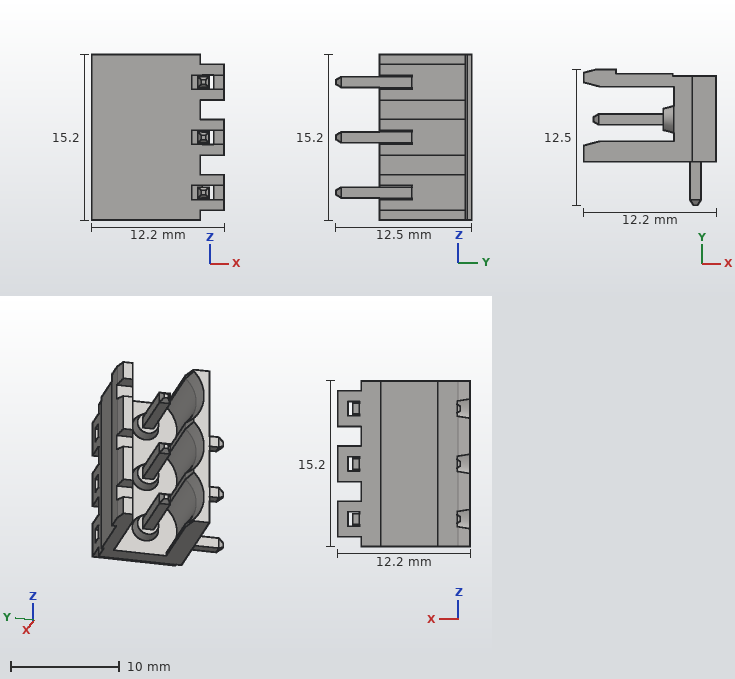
import cadquery as cq


POLES = 3
PITCH = 5.08
HEIGHT = POLES * PITCH
POLE_CENTRES = [PITCH * (pole + 0.5) for pole in range(POLES)]

CAVITY_FLOOR_X = 8.3
BACK_X = 10.02
REAR_X = 12.2
BACK_Y = 7.9
SOLDER_WALL = 1.9
MOUTH_LEAD_IN = 1.5
MOUTH_CHAMFER = 0.4
LATCH_WALL_INNER_Y = 6.9
LATCH_WALL_OUTER_Y = 8.1
LATCH_WALL_END_X = 8.23
LATCH_TOP_Y = 8.5
LATCH_BACK_X = 3.0
LATCH_RAMP_LENGTH = 1.15
LATCH_RAMP_DROP = 0.3

RIB_WIDTH = 3.3
SLOT_WIDTH = 1.3
SLOT_START_X = 9.2
SLOT_DEPTH = 3.0
WINDOW_START_X = 10.2
WINDOW_LENGTH = 1.03

NOTCH_DEPTH = 1.2
NOTCH_MOUTH_WIDTH = 1.78
NOTCH_FLOOR_WIDTH = 1.39
SCALLOP_MOUTH_RADIUS = 3.37
SCALLOP_BORE_RADIUS = 3.0

PIN_WIDTH = 1.02
PIN_TIP_WIDTH = 0.4
PIN_TIP_LENGTH = 0.5
PIN_Y = 3.9
CONTACT_TIP_X = 0.9
SOLDER_PIN_X = 10.3
SOLDER_TIP_Y = -4.0
COLLAR_LENGTH = 0.97
COLLAR_BASE_DIAMETER = 2.5
COLLAR_END_DIAMETER = 2.0


def box(x, y, z):
    """Box spanning the given (low, high) pair along each axis."""
    return (
        cq.Workplane("XY")
        .box(x[1] - x[0], y[1] - y[0], z[1] - z[0], centered=False)
        .translate((x[0], y[0], z[0]))
    )


def span(centre, width):
    return (centre - width / 2, centre + width / 2)


def make_shell():
    """U-shaped housing section, extruded along the row."""
    outline = [
        (0, 0),
        (BACK_X, 0),
        (BACK_X, BACK_Y),
        (LATCH_WALL_END_X, BACK_Y),
        (LATCH_WALL_END_X, LATCH_WALL_OUTER_Y),
        (LATCH_BACK_X, LATCH_WALL_OUTER_Y),
        (LATCH_BACK_X, LATCH_TOP_Y),
        (LATCH_RAMP_LENGTH, LATCH_TOP_Y),
        (0, LATCH_TOP_Y - LATCH_RAMP_DROP),
        (0, LATCH_WALL_INNER_Y + MOUTH_CHAMFER),
        (MOUTH_LEAD_IN, LATCH_WALL_INNER_Y),
        (CAVITY_FLOOR_X, LATCH_WALL_INNER_Y),
        (CAVITY_FLOOR_X, SOLDER_WALL),
        (MOUTH_LEAD_IN, SOLDER_WALL),
        (0, SOLDER_WALL - MOUTH_CHAMFER),
    ]
    return cq.Workplane("XY").polyline(outline).close().extrude(HEIGHT)


def make_rib(z):
    return box((BACK_X, REAR_X), (0, BACK_Y), span(z, RIB_WIDTH))


def make_slot(z):
    """Slot for the solder pin, with a narrower window through to the latch side."""
    slot_z = span(z, SLOT_WIDTH)
    slot = box((SLOT_START_X, REAR_X), (0, SLOT_DEPTH), slot_z)
    window = box((WINDOW_START_X, WINDOW_START_X + WINDOW_LENGTH), (0, BACK_Y), slot_z)
    return slot.union(window)


def make_notch(z):
    """Tapered notch across the mouth edge of the latch wall."""
    mouth_low, mouth_high = span(z, NOTCH_MOUTH_WIDTH)
    floor_low, floor_high = span(z, NOTCH_FLOOR_WIDTH)
    outline = [(0, mouth_low), (NOTCH_DEPTH, floor_low), (NOTCH_DEPTH, floor_high), (0, mouth_high)]
    return (
        cq.Workplane("XZ", origin=(0, LATCH_TOP_Y, 0))
        .polyline(outline)
        .close()
        .extrude(LATCH_TOP_Y - LATCH_WALL_INNER_Y)
    )


def make_cone(x, z, start_radius, end_radius, length):
    """Truncated cone on the contact axis, running in +X from x."""
    return cq.Workplane(
        cq.Solid.makeCone(start_radius, end_radius, length, cq.Vector(x, PIN_Y, z), cq.Vector(1, 0, 0))
    )


def make_scallop(z):
    """Round relief along the solder wall: a conical lead-in, then a straight bore to the cavity floor."""
    lead_in = make_cone(0, z, SCALLOP_MOUTH_RADIUS, SCALLOP_BORE_RADIUS, MOUTH_LEAD_IN)
    bore = (
        cq.Workplane("YZ", origin=(MOUTH_LEAD_IN, PIN_Y, z))
        .circle(SCALLOP_BORE_RADIUS)
        .extrude(CAVITY_FLOOR_X - MOUTH_LEAD_IN)
    )
    return lead_in.union(bore).intersect(box((0, CAVITY_FLOOR_X), (0, PIN_Y), (0, HEIGHT)))


def make_collar(z):
    return make_cone(
        CAVITY_FLOOR_X - COLLAR_LENGTH, z, COLLAR_END_DIAMETER / 2, COLLAR_BASE_DIAMETER / 2, COLLAR_LENGTH
    )


def make_pin_tip(plane):
    """Square taper from the small end on the given plane to the full pin."""
    return (
        cq.Workplane(plane)
        .rect(PIN_TIP_WIDTH, PIN_TIP_WIDTH)
        .workplane(offset=PIN_TIP_LENGTH)
        .rect(PIN_WIDTH, PIN_WIDTH)
        .loft(ruled=True)
    )


def make_pin(z):
    """L-shaped pin: contact leg along X, solder leg along Y."""
    pin_z = span(z, PIN_WIDTH)
    solder_x = span(SOLDER_PIN_X, PIN_WIDTH)
    contact_y = span(PIN_Y, PIN_WIDTH)
    contact_leg = box((CONTACT_TIP_X + PIN_TIP_LENGTH, solder_x[1]), contact_y, pin_z)
    solder_leg = box(solder_x, (SOLDER_TIP_Y + PIN_TIP_LENGTH, contact_y[1]), pin_z)
    contact_tip = make_pin_tip(cq.Plane((CONTACT_TIP_X, PIN_Y, z), (0, 1, 0), (1, 0, 0)))
    solder_tip = make_pin_tip(cq.Plane((SOLDER_PIN_X, SOLDER_TIP_Y, z), (1, 0, 0), (0, 1, 0)))
    return contact_leg.union(solder_leg).union(contact_tip).union(solder_tip)


result = make_shell()
for pole_z in POLE_CENTRES:
    result = result.union(make_rib(pole_z))
    result = result.cut(make_slot(pole_z))
    result = result.cut(make_notch(pole_z))
    result = result.cut(make_scallop(pole_z))
    result = result.union(make_collar(pole_z))
    result = result.union(make_pin(pole_z))